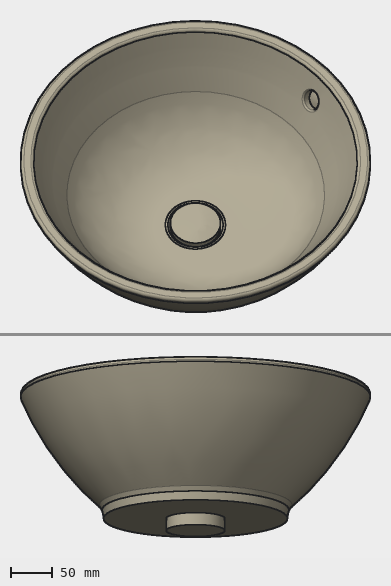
import cadquery as cq
import math


rim_radius = 210.0
basin_height = 155.5
rim_round = 3.8
rim_band_bottom = basin_height - 6.5
bowl_mid_radius = 171.8
bowl_mid_height = 80.0
bowl_foot_radius = 115.5
bowl_foot_height = 17.0
foot_top_radius = 112.0
foot_top_height = 10.5
foot_bottom_radius = 110.5

rim_inner_radius = 194.0
wall_bottom_radius = 154.5
wall_bottom_height = 85.5
wall_bulge = 1.0
floor_height = 24.8

drain_flange_radius = 72.2 / 2
drain_flange_thickness = 4.0
drain_mouth_radius = 66.5 / 2
drain_lip_chamfer = 1.0
drain_pipe_radius = 70.0 / 2
drain_pipe_drop = 14.5
drain_groove_depth = 3.8
stopper_radius = 60.0 / 2
stopper_edge_height = floor_height + 3.8
stopper_dome_rise = 5.0

overflow_radius = 24.0 / 2
overflow_round = 2.0
overflow_height = 124.0
overflow_depth = 14.3
overflow_plug_edge_depth = 11.0
overflow_dome_rise = 1.5

flange_bottom = floor_height - drain_flange_thickness

wall_top_height = basin_height - rim_round
wall_run = rim_inner_radius - wall_bottom_radius
wall_rise = wall_top_height - wall_bottom_height
wall_length = math.hypot(wall_run, wall_rise)
wall_mid_radius = (rim_inner_radius + wall_bottom_radius) / 2 + wall_bulge * wall_rise / wall_length
wall_mid_height = (wall_top_height + wall_bottom_height) / 2 - wall_bulge * wall_run / wall_length

overflow_fraction = (overflow_height - wall_bottom_height) / wall_rise
chord_radius = wall_bottom_radius + wall_run * overflow_fraction
bulge_here = 4 * wall_bulge * overflow_fraction * (1 - overflow_fraction)
overflow_reach = chord_radius + bulge_here * wall_length / wall_rise
overflow_plane = cq.Plane(
    origin=(0, overflow_reach, overflow_height),
    xDir=(1, 0, 0),
    normal=(0, wall_rise, -wall_run),
)


def quarter_round_mid(center, radius, direction):
    """Middle point of a quarter round whose bisector points along (+-1, +-1)."""
    step = radius * math.sqrt(0.5)
    return center[0] + direction[0] * step, center[1] + direction[1] * step


def dome_mid(edge_radius, edge_height, rise):
    """Point halfway along the arc from a dome's edge to its apex."""
    sphere_radius = (edge_radius**2 + rise**2) / (2 * rise)
    half_angle = math.asin(edge_radius / sphere_radius) / 2
    height = edge_height + rise - sphere_radius * (1 - math.cos(half_angle))
    return sphere_radius * math.sin(half_angle), height


def make_bowl():
    outer_round_center = (rim_radius - rim_round, basin_height - rim_round)
    inner_round_center = (rim_inner_radius + rim_round, basin_height - rim_round)
    return (
        cq.Workplane("XZ")
        .moveTo(drain_pipe_radius, 0)
        .lineTo(foot_bottom_radius, 0)
        .lineTo(foot_top_radius, foot_top_height)
        .lineTo(bowl_foot_radius, bowl_foot_height)
        .threePointArc((bowl_mid_radius, bowl_mid_height), (rim_radius, rim_band_bottom))
        .lineTo(rim_radius, basin_height - rim_round)
        .threePointArc(
            quarter_round_mid(outer_round_center, rim_round, (1, 1)),
            (rim_radius - rim_round, basin_height),
        )
        .lineTo(rim_inner_radius + rim_round, basin_height)
        .threePointArc(
            quarter_round_mid(inner_round_center, rim_round, (-1, 1)),
            (rim_inner_radius, wall_top_height),
        )
        .threePointArc((wall_mid_radius, wall_mid_height), (wall_bottom_radius, wall_bottom_height))
        .tangentArcPoint((drain_flange_radius, floor_height), relative=False)
        .lineTo(drain_flange_radius, flange_bottom)
        .lineTo(drain_pipe_radius, flange_bottom)
        .close()
        .revolve(360, (0, 0, 0), (0, 1, 0))
    )


def make_basin():
    cutter = (
        cq.Workplane(overflow_plane)
        .workplane(offset=-overflow_depth)
        .circle(overflow_radius)
        .extrude(2 * overflow_depth)
    )
    basin = make_bowl().cut(cutter)
    mouth = cq.selectors.NearestToPointSelector(overflow_plane.toWorldCoords((0, overflow_radius, 0)))
    return basin.edges(mouth).fillet(overflow_round)


def make_drain():
    return (
        cq.Workplane("XZ")
        .moveTo(0, -drain_pipe_drop)
        .lineTo(drain_pipe_radius, -drain_pipe_drop)
        .lineTo(drain_pipe_radius, flange_bottom)
        .lineTo(drain_flange_radius, flange_bottom)
        .lineTo(drain_flange_radius, floor_height)
        .lineTo(drain_mouth_radius, floor_height)
        .lineTo(drain_mouth_radius - drain_lip_chamfer, floor_height - drain_lip_chamfer)
        .lineTo(stopper_radius, floor_height - drain_groove_depth)
        .lineTo(stopper_radius, stopper_edge_height)
        .threePointArc(
            dome_mid(stopper_radius, stopper_edge_height, stopper_dome_rise),
            (0, stopper_edge_height + stopper_dome_rise),
        )
        .close()
        .revolve(360, (0, 0, 0), (0, 1, 0))
    )


def make_overflow_plug():
    profile_plane = cq.Plane(
        origin=overflow_plane.origin,
        xDir=(1, 0, 0),
        normal=overflow_plane.yDir,
    )
    edge = -overflow_plug_edge_depth
    return (
        cq.Workplane(profile_plane)
        .moveTo(0, -overflow_depth)
        .lineTo(overflow_radius, -overflow_depth)
        .lineTo(overflow_radius, edge)
        .threePointArc(dome_mid(overflow_radius, edge, overflow_dome_rise), (0, edge + overflow_dome_rise))
        .close()
        .revolve(360, (0, 0, 0), (0, 1, 0))
    )


basin = make_basin()
drain = make_drain()
overflow_plug = make_overflow_plug()
result = cq.Compound.makeCompound([basin.val(), drain.val(), overflow_plug.val()])